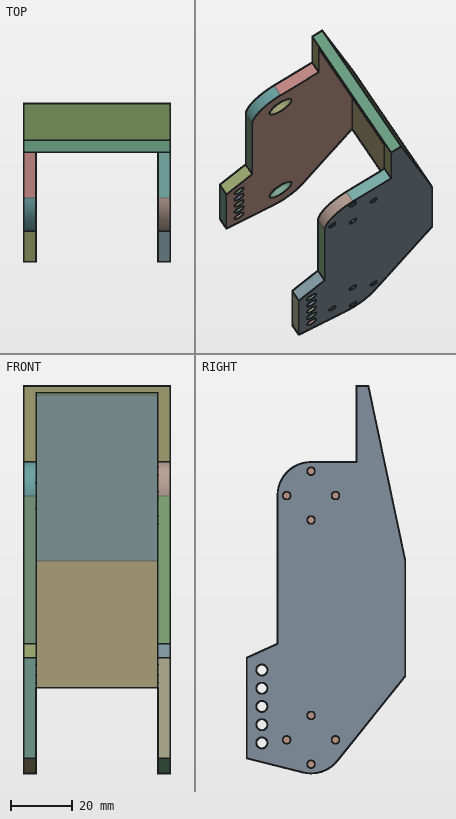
import cadquery as cq
import math

width = 48.0
depth = 52.0
height = 127.0
plate_thickness = 4.1
wall_thickness = 3.0

corner_radius = 11.0
pivot_spacing = 80.0
plate_front_y = 10.0
pivot_y = plate_front_y + corner_radius
lower_pivot_z = corner_radius
upper_pivot_z = lower_pivot_z + pivot_spacing
shoulder_z = upper_pivot_z + corner_radius

lip_front_y = 36.0
lip_thickness = 4.0
lip_back_y = lip_front_y + lip_thickness
back_bend_z = 70.0
back_bottom_z = 31.9
lip_height = 2.2
recess_face_height = 0.8

tab_bottom_z = 5.0
tab_top_z = 38.0
tab_root_z = 42.5
row_hole_diameter = 3.5
row_hole_count = 5
row_hole_pitch = 6.0
row_hole_y = 5.0
row_lowest_z = 10.0

bearing_bore_diameter = 8.5
bearing_seat_diameter = 10.5
bearing_seat_depth = 1.5

screw_diameter = 2.5
screw_circle_radius = 8.0
screw_count = 4

clearance = 6.4
left_x = -width / 2
right_inner_x = width / 2 - plate_thickness
pivots = [(pivot_y, lower_pivot_z), (pivot_y, upper_pivot_z)]


def on_circle(center, radius, angle):
    return (center[0] + radius * math.cos(angle), center[1] + radius * math.sin(angle))


def tangent_angle(point, center, radius, side):
    """Angle (0 to a full turn) where a line from an outside point touches the circle.

    Of the two tangent lines, side 1 takes the later angle and side -1 the earlier one.
    """
    dy = point[0] - center[0]
    dz = point[1] - center[1]
    angle = math.atan2(dz, dy) + side * math.acos(radius / math.hypot(dy, dz))
    return angle % math.tau


def side_plane(x):
    """Workplane facing +X whose local axes are Y and Z."""
    return cq.Workplane("YZ", origin=(x, 0, 0))


def cylinders(points, diameter, x, length):
    return side_plane(x).pushPoints(points).circle(diameter / 2).extrude(length)


def make_blank():
    """Side profile extruded over the full width."""
    lower_pivot, upper_pivot = pivots
    tab_bottom = (0, tab_bottom_z)
    back_bottom = (depth, back_bottom_z)
    arc_start = tangent_angle(tab_bottom, lower_pivot, corner_radius, 1)
    arc_end = tangent_angle(back_bottom, lower_pivot, corner_radius, -1)
    return (
        side_plane(left_x)
        .moveTo(*tab_bottom)
        .lineTo(*on_circle(lower_pivot, corner_radius, arc_start))
        .threePointArc(
            on_circle(lower_pivot, corner_radius, (arc_start + arc_end) / 2),
            on_circle(lower_pivot, corner_radius, arc_end),
        )
        .lineTo(*back_bottom)
        .lineTo(depth, back_bend_z)
        .lineTo(lip_back_y, height)
        .lineTo(lip_front_y, height)
        .lineTo(lip_front_y, shoulder_z)
        .lineTo(pivot_y, shoulder_z)
        .threePointArc(
            on_circle(upper_pivot, corner_radius, math.radians(135)),
            (plate_front_y, upper_pivot_z),
        )
        .lineTo(plate_front_y, tab_root_z)
        .lineTo(0, tab_top_z)
        .close()
        .extrude(width)
    )


def make_interior():
    """Space between the plates, leaving the bent back wall and the top lip."""
    slant = math.atan2(depth - lip_back_y, height - back_bend_z)
    wall_y = depth - wall_thickness
    wall_bend_z = back_bend_z - wall_thickness * math.tan(slant / 2)
    ceiling_z = height - lip_height
    slant_top_z = ceiling_z - recess_face_height
    recess_y = wall_y - (slant_top_z - wall_bend_z) * math.tan(slant)
    return (
        side_plane(left_x + plate_thickness)
        .polyline([
            (-clearance, -clearance),
            (wall_y, -clearance),
            (wall_y, wall_bend_z),
            (recess_y, slant_top_z),
            (recess_y, ceiling_z),
            (-clearance, ceiling_z),
        ])
        .close()
        .extrude(width - 2 * plate_thickness)
    )


row_points = [(row_hole_y, row_lowest_z + i * row_hole_pitch) for i in range(row_hole_count)]
screw_points = [
    on_circle(pivot, screw_circle_radius, i * math.tau / screw_count)
    for pivot in pivots
    for i in range(screw_count)
]

result = make_blank().cut(make_interior())
result = result.cut(cylinders(row_points, row_hole_diameter, left_x, width))
result = result.cut(cylinders(pivots, bearing_bore_diameter, left_x, plate_thickness))
result = result.cut(cylinders(pivots, bearing_seat_diameter, left_x, bearing_seat_depth))
result = result.cut(cylinders(screw_points, screw_diameter, right_inner_x, plate_thickness))